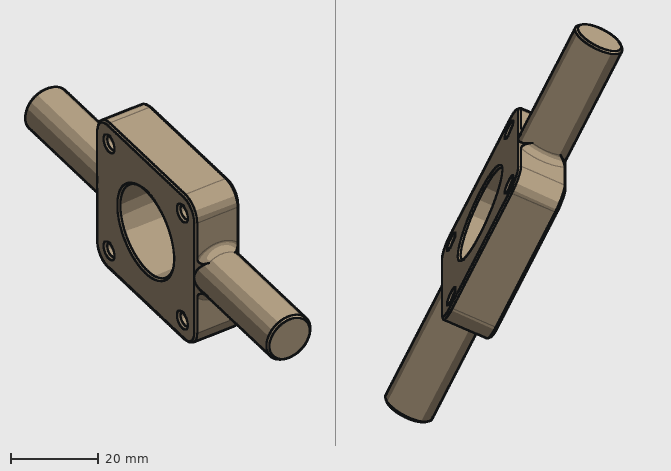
import cadquery as cq

length = 103.0
plate_side = 42.0
thickness = 12.0
corner_radius = 5.0
edge_chamfer = 0.5

arm_diameter = thickness
arm_end_chamfer = 0.5
flare_radius = 2.0

bore_diameter = 23.0
bore_chamfer = 0.5
screw_hole_diameter = 3.4
screw_hole_spacing = 31.0
screw_hole_chamfer = 0.6


def make_plate():
    """Square plate centred on the origin, lying in the XZ plane."""
    return (
        cq.Workplane("XY")
        .box(plate_side, thickness, plate_side)
        .edges("|Y")
        .fillet(corner_radius)
        .faces("<Y or >Y")
        .chamfer(edge_chamfer)
    )


def make_arms():
    """One continuous round bar along X with chamfered ends."""
    return (
        cq.Workplane("YZ")
        .circle(arm_diameter / 2)
        .extrude(length / 2, both=True)
        .faces("<X or >X")
        .chamfer(arm_end_chamfer)
    )


def flare_arms(body):
    """Round the joints between the arms and the flat sides of the plate."""
    half_side = plate_side / 2
    joint_reach = 0.01
    for side in (-1, 1):
        joint_zone = cq.selectors.BoxSelector(
            (side * half_side - joint_reach, -thickness, -arm_diameter),
            (side * half_side + joint_reach, thickness, arm_diameter),
        )
        joint = joint_zone & cq.selectors.TypeSelector("CIRCLE")
        body = body.edges(joint).fillet(flare_radius)
    return body


def make_hole_cutter(diameter, chamfer):
    """Through-hole tool along Y that widens by the chamfer at both faces."""
    radius = diameter / 2
    half = thickness / 2
    profile = [
        (0, -half),
        (radius + chamfer, -half),
        (radius, chamfer - half),
        (radius, half - chamfer),
        (radius + chamfer, half),
        (0, half),
    ]
    return cq.Workplane("XY").polyline(profile).close().revolve(360, (0, 0, 0), (0, 1, 0))


result = flare_arms(make_plate().union(make_arms()))

result = result.cut(make_hole_cutter(bore_diameter, bore_chamfer))

screw_hole = make_hole_cutter(screw_hole_diameter, screw_hole_chamfer)
for x_side in (-1, 1):
    for z_side in (-1, 1):
        offset = (x_side * screw_hole_spacing / 2, 0, z_side * screw_hole_spacing / 2)
        result = result.cut(screw_hole.translate(offset))